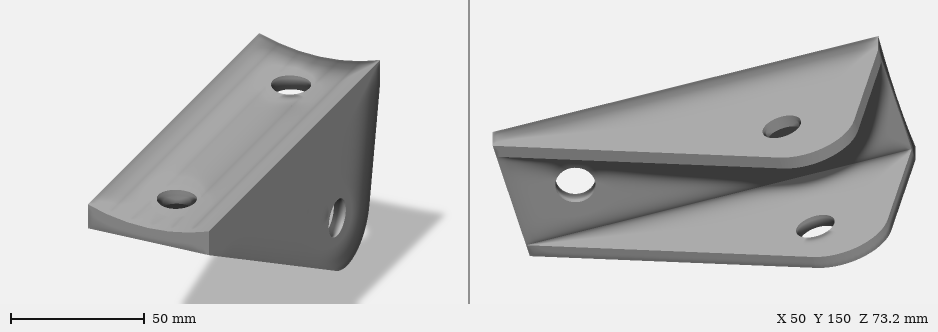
import cadquery as cq
import math

length = 150.0
width = 50.0
height = 73.2

plate_thickness = 10.0
cheek_thickness = 5.0
saddle_radius = 75.0

nose_radius = 20.0
nose_y = 46.0

hole_diameter = 15.0
plate_hole_spacing = 100.0
pin_y = 37.5
pin_z = -48.8

nose_z = nose_radius - height
half_length = length / 2


def nose_point(angle):
    """Point on the nose circle at the given angle."""
    return (nose_y + nose_radius * math.cos(angle), nose_z + nose_radius * math.sin(angle))


def tangent_angle(corner_y, side):
    """Angle on the nose circle where the line from a lower plate corner touches it."""
    dy = corner_y - nose_y
    dz = -plate_thickness - nose_z
    return math.atan2(dz, dy) + side * math.acos(nose_radius / math.hypot(dy, dz))


def cheek_block():
    """Side outline extruded over the full width."""
    front_angle = tangent_angle(-half_length, 1) % (2 * math.pi)
    back_angle = tangent_angle(half_length, -1) % (2 * math.pi)
    return (
        cq.Workplane("YZ")
        .moveTo(-half_length, 0)
        .lineTo(-half_length, -plate_thickness)
        .lineTo(*nose_point(front_angle))
        .threePointArc(nose_point((front_angle + back_angle) / 2), nose_point(back_angle))
        .lineTo(half_length, -plate_thickness)
        .lineTo(half_length, 0)
        .close()
        .extrude(width / 2, both=True)
    )


def gap_between_cheeks():
    """Open space below the plate, running the full length."""
    gap_width = width - 2 * cheek_thickness
    return (
        cq.Workplane("XY")
        .workplane(offset=-plate_thickness)
        .rect(gap_width, length)
        .extrude(-height)
    )


def saddle_cylinder():
    """Cylinder that hollows the top face and meets its two long edges."""
    axis_z = math.sqrt(saddle_radius**2 - (width / 2) ** 2)
    return (
        cq.Workplane("XZ")
        .center(0, axis_z)
        .circle(saddle_radius)
        .extrude(half_length, both=True)
    )


def plate_holes():
    """Two vertical holes through the saddle plate."""
    return (
        cq.Workplane("XY")
        .rarray(1.5, plate_hole_spacing, 1, 2)
        .circle(hole_diameter / 2)
        .extrude(-plate_thickness)
    )


def pin_hole():
    """Cross hole through both cheeks."""
    return (
        cq.Workplane("YZ")
        .center(pin_y, pin_z)
        .circle(hole_diameter / 2)
        .extrude(width / 2, both=True)
    )


result = (
    cheek_block()
    .cut(gap_between_cheeks())
    .cut(saddle_cylinder())
    .cut(plate_holes())
    .cut(pin_hole())
)